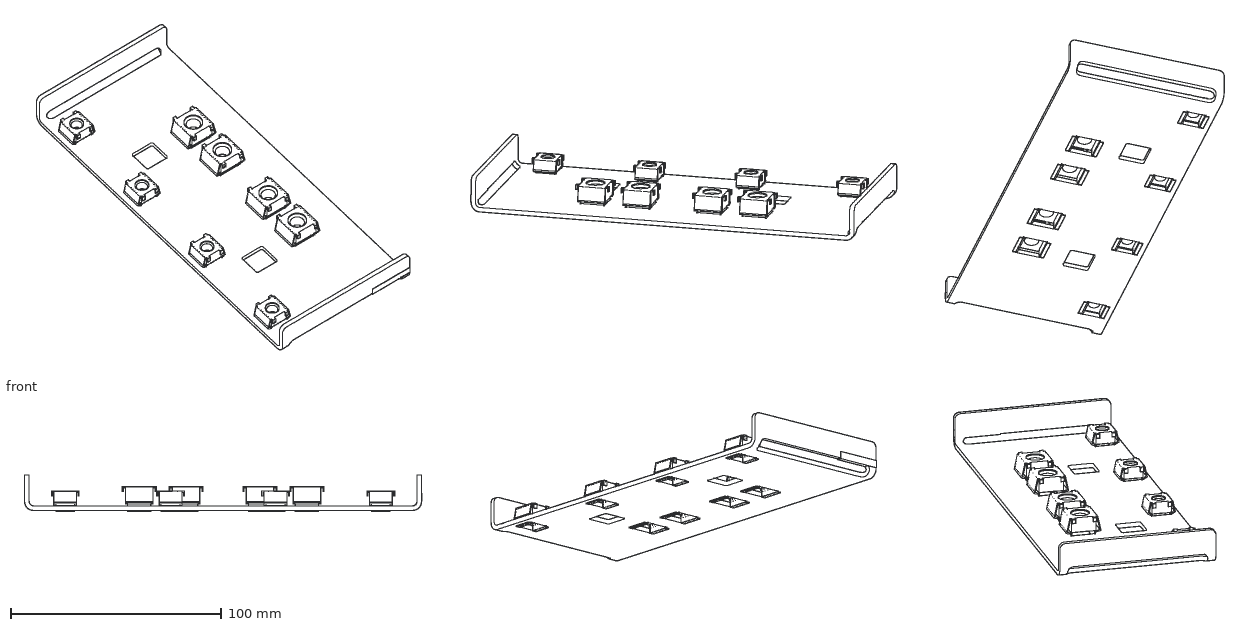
import cadquery as cq

tray_length = 188.7
tray_width = 77.0
flange_height = 17.0
sheet = 2.3
bend_radius = 4.3
flange_corner_radius = 2.8

slot_end_margin = 4.0
slot_reach = 5.0
slot_corner_radius = 2.8

overall_length = 188.9
pad_thickness = overall_length - tray_length
pad_length = 22.7
pad_bottom = 4.5
pad_top = 8.1

window_x = 42.1
window_y = -11.1
window_size_x = 12.0
window_size_y = 12.5
window_corner_radius = 1.0

tang_drop = 0.4
clip = 0.5
top_bend_radius = 0.5
tab_width = 1.7

large_nut_positions = [(x, 13.5) for x in (-39.9, -17.5, 17.5, 39.9)]
small_nut_positions = [(x, -29.5) for x in (-75.0, -25.0, 25.0, 75.0)]

large_nut = dict(
    width=13.2,
    block_depth=12.0,
    top_depth=13.8,
    leg_spread=17.0,
    tang_width=11.1,
    hook_spread=15.5,
    tab_span=16.2,
    tab_bottom=9.0,
    top=11.3,
    leg_tip=3.8,
    return_bottom=3.2,
    block_bottom=4.0,
    cage_bore=8.9,
    thread_bore=6.8,
)
small_nut = dict(
    width=11.0,
    block_depth=9.5,
    top_depth=11.1,
    leg_spread=13.6,
    tang_width=8.9,
    hook_spread=12.8,
    tab_span=13.2,
    tab_bottom=6.8,
    top=9.3,
    leg_tip=3.5,
    return_bottom=2.5,
    block_bottom=3.4,
    cage_bore=6.6,
    thread_bore=5.3,
)


def tray_blank():
    """Floor and flanges bent from one sheet."""
    outer = (
        cq.Workplane("XY")
        .box(tray_length, tray_width, flange_height, centered=(True, True, False))
        .edges("|Y and <Z")
        .fillet(bend_radius)
    )
    inner = (
        cq.Workplane("XY", origin=(0, 0, sheet))
        .box(tray_length - 2 * sheet, tray_width, flange_height, centered=(True, True, False))
        .edges("|Y and <Z")
        .fillet(bend_radius - sheet)
    )
    return outer.cut(inner).edges("|X and >Z").fillet(flange_corner_radius)


def relief_slot(side):
    """Cutter for the slot along one bend; side is -1 or +1."""
    slot_length = tray_width - 2 * slot_end_margin
    inner_face = ">X" if side < 0 else "<X"
    return (
        cq.Workplane("XY", origin=(side * tray_length / 2, 0, 0))
        .box(2 * slot_reach, slot_length, 2 * slot_reach)
        .edges(f"(|X and >Z) or (|Z and {inner_face})")
        .fillet(slot_corner_radius)
    )


def make_tray():
    tray = tray_blank()
    for side in (-1, 1):
        tray = tray.cut(relief_slot(side))
    windows = (
        cq.Workplane("XY")
        .pushPoints([(-window_x, window_y), (window_x, window_y)])
        .rect(window_size_x, window_size_y)
        .extrude(sheet)
        .edges("|Z")
        .fillet(window_corner_radius)
    )
    tray = tray.cut(windows)
    for nut, positions in ((large_nut, large_nut_positions), (small_nut, small_nut_positions)):
        hole = nut["block_depth"]
        tray = tray.cut(cq.Workplane("XY").pushPoints(positions).rect(hole, hole).extrude(sheet))
    pad = cq.Workplane("XY").box(
        sheet + pad_thickness, pad_length, pad_top - pad_bottom, centered=False
    )
    pad_corner = (tray_length / 2 - sheet, tray_width / 2 - pad_length, pad_bottom)
    return tray.union(pad.translate(pad_corner))


def extrude_along_x(points, width):
    """Solid of a YZ outline, centred on X = 0."""
    return cq.Workplane("YZ").polyline(points).close().extrude(width / 2, both=True)


def cage_leg(nut):
    """+Y leg that slopes out from the cage top, then turns back in to the tang."""
    top_y = nut["top_depth"] / 2
    tip_y = nut["leg_spread"] / 2
    root_y = nut["block_depth"] / 2
    points = [
        (top_y - clip, nut["top"]),
        (top_y, nut["top"]),
        (tip_y, nut["leg_tip"]),
        (root_y, nut["return_bottom"]),
        (root_y, nut["return_bottom"] + clip),
        (tip_y - clip, nut["leg_tip"] + clip),
    ]
    return extrude_along_x(points, nut["width"])


def cage_tang(nut):
    """+Y tang that runs down through the tray and hooks under it."""
    outer_y = nut["block_depth"] / 2
    inner_y = outer_y - clip
    hook_y = nut["hook_spread"] / 2
    points = [
        (inner_y, nut["block_bottom"]),
        (outer_y, nut["block_bottom"]),
        (outer_y, 0),
        (hook_y, 0),
        (hook_y, -tang_drop),
        (inner_y, -tang_drop),
    ]
    return extrude_along_x(points, nut["tang_width"])


def corner_tabs(nut):
    """Two hooked strips across the top whose ends hang down as four corner tabs."""
    height = nut["top"] - nut["tab_bottom"]
    tab_y = (nut["block_depth"] - tab_width) / 2
    centered = (True, True, False)
    strip = cq.Workplane("XY").box(nut["tab_span"], tab_width, height, centered=centered)
    gap = cq.Workplane("XY").box(nut["tab_span"] - 2 * clip, tab_width, height - clip, centered=centered)
    hooks = strip.cut(gap)
    front = hooks.translate((0, -tab_y, nut["tab_bottom"]))
    back = hooks.translate((0, tab_y, nut["tab_bottom"]))
    return front.union(back)


def bore_cutter(nut):
    """Round hole in the cage top that leads by a 45 degree countersink into the thread bore."""
    thread_radius = nut["thread_bore"] / 2
    cage_radius = nut["cage_bore"] / 2
    countersink_top = nut["top"] - clip
    countersink_bottom = countersink_top - (cage_radius - thread_radius)
    half_outline = [
        (0, 0),
        (thread_radius, 0),
        (thread_radius, countersink_bottom),
        (cage_radius, countersink_top),
        (cage_radius, nut["top"]),
        (0, nut["top"]),
    ]
    return cq.Workplane("XZ").polyline(half_outline).close().revolve(360, (0, 0, 0), (0, 1, 0))


def make_cage_nut(nut):
    """Threaded block with its spring cage, centred on the Z axis."""
    block = cq.Workplane("XY", origin=(0, 0, nut["block_bottom"])).box(
        nut["width"], nut["block_depth"], nut["top"] - nut["block_bottom"], centered=(True, True, False)
    )
    cage_top = cq.Workplane("XY", origin=(0, 0, nut["top"] - clip)).box(
        nut["width"], nut["top_depth"], clip, centered=(True, True, False)
    )
    leg = cage_leg(nut)
    tang = cage_tang(nut)
    body = block.union(cage_top).union(leg).union(leg.mirror("XZ"))
    body = body.edges("|X and >Z").fillet(top_bend_radius)
    body = body.union(tang).union(tang.mirror("XZ")).union(corner_tabs(nut))
    return body.cut(bore_cutter(nut))


tray = make_tray()
large_nuts = [make_cage_nut(large_nut).translate((x, y, 0)) for x, y in large_nut_positions]
small_nuts = [make_cage_nut(small_nut).translate((x, y, 0)) for x, y in small_nut_positions]

result = cq.Compound.makeCompound([body.val() for body in [tray, *large_nuts, *small_nuts]])